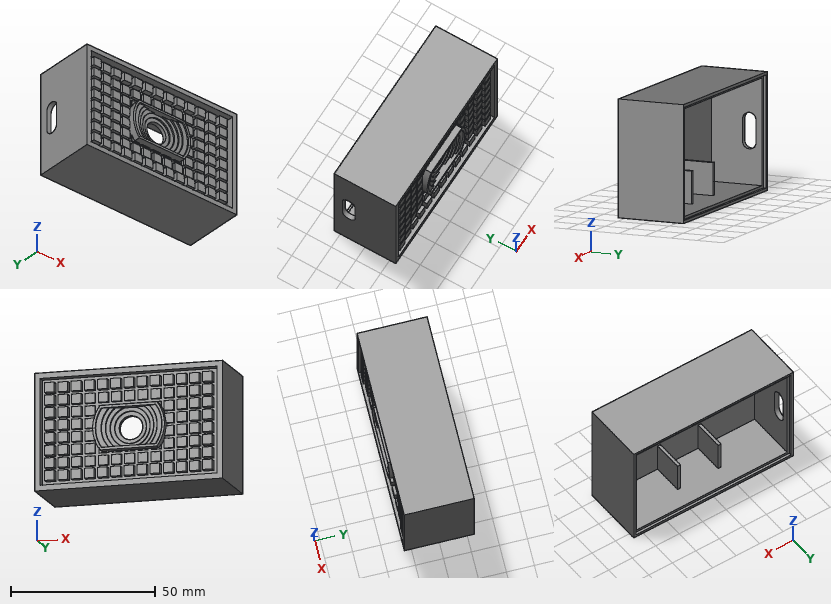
import cadquery as cq

length = 68.0
depth = 25.0
height = 42.0
wall = 2.0
front = -depth / 2
back = depth / 2

panel_recess = 3.0
panel_length = length - 2 * wall
panel_height = height - 2 * wall
panel_face = front + panel_recess
stud = 3.5
stud_columns = 13
stud_rows = 8
stud_pitch_x = 4.75
stud_pitch_z = 4.5
stud_margin = 1.5

outer_stud_height = 2.5
stud_height_step = 0.51
ring_by_column = [0, 1, 2, 3, 4, 4, 4]
ring_by_row = [1, 3, 4, 4]

boss_diameter = 26.0
boss_flats = 15.9
boss_lip = 0.95
ring_diameters = [boss_diameter - 2 * boss_lip, 20.25, 17.5, 14.5, 11.5]
ring_step = 0.6
hole_diameter = 8.5
hole_land = 1.5

cavity_face = front + len(ring_diameters) * ring_step + hole_land
lid_seat = 1.0
lid_lip = 1.0

slot_width = 5.2
slot_length = 12.85
slot_back_margin = 3.4
slot_y = back - slot_back_margin - slot_width / 2

rib_gap = 16.05
rib_thickness = 1.2
rib_top = -7.4
rib_end = slot_y - slot_width / 2


def block(size_x, size_z, y_start, y_end):
    """Box centred on the Y axis between two Y positions."""
    plain_block = cq.Workplane("XY").box(size_x, y_end - y_start, size_z)
    return plain_block.translate((0, (y_start + y_end) / 2, 0))


def disc(diameter, y_start, y_end):
    """Cylinder along the Y axis between two Y positions."""
    return cq.Workplane("XZ", origin=(0, y_end, 0)).circle(diameter / 2).extrude(y_end - y_start)


def flatted_disc(diameter, flats, y_start, y_end):
    """Disc along the Y axis with flats at its top and bottom."""
    return disc(diameter, y_start, y_end).intersect(block(diameter, flats, y_start, y_end))


def make_housing():
    housing = block(length, height, front, back)
    housing = housing.cut(block(panel_length, panel_height, front, panel_face))
    housing = housing.cut(block(length - 2 * wall, height - 2 * wall, cavity_face, back))
    return housing.cut(block(length - 2 * lid_lip, height - 2 * lid_lip, back - lid_seat, back))


def stud_ring(column, row):
    """Ring index of a stud, counted inwards from the nearest panel edge."""
    from_side = min(column, stud_columns - 1 - column)
    from_edge = min(row, stud_rows - 1 - row)
    return min(ring_by_column[from_side], ring_by_row[from_edge])


def make_studs():
    first_x = -panel_length / 2 + stud_margin + stud / 2
    first_z = panel_height / 2 - stud_margin - stud / 2
    centers_by_ring = [[] for _ in range(max(ring_by_column) + 1)]
    for column in range(stud_columns):
        for row in range(stud_rows):
            center = (first_x + column * stud_pitch_x, first_z - row * stud_pitch_z)
            centers_by_ring[stud_ring(column, row)].append(center)
    studs = cq.Workplane("XZ")
    for ring, centers in enumerate(centers_by_ring):
        panel_plane = cq.Workplane("XZ", origin=(0, panel_face, 0))
        stud_height = outer_stud_height - ring * stud_height_step
        studs.add(panel_plane.pushPoints(centers).rect(stud, stud).extrude(stud_height))
    return studs.combine()


def make_boss_steps():
    """Stepped opening of the boss, each ring one step deeper than the one around it."""
    inner_flats = boss_flats - 2 * boss_lip
    steps = disc(hole_diameter, front, cavity_face)
    for index, diameter in enumerate(ring_diameters):
        steps = steps.union(flatted_disc(diameter, inner_flats, front, front + (index + 1) * ring_step))
    return steps


def make_cable_slot():
    slot_plane = cq.Workplane("YZ", origin=(-length / 2, slot_y, 0))
    return slot_plane.slot2D(slot_length, slot_width, 90).extrude(wall)


def make_rib(side):
    floor = -height / 2 + wall
    rib = cq.Workplane("XY").box(rib_thickness, rib_end - cavity_face, rib_top - floor)
    return rib.translate((
        side * (rib_gap + rib_thickness) / 2,
        (cavity_face + rib_end) / 2,
        (floor + rib_top) / 2,
    ))


result = make_housing()
result = result.union(make_studs())
result = result.union(flatted_disc(boss_diameter, boss_flats, front, cavity_face))
result = result.cut(make_boss_steps())
result = result.cut(make_cable_slot())
for side in (-1, 1):
    result = result.union(make_rib(side))